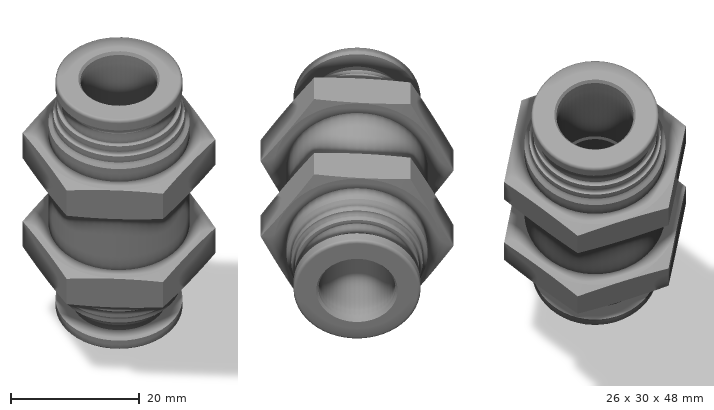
import cadquery as cq
import math

LENGTH = 48.0
HALF_LENGTH = LENGTH / 2

BARREL_DIAMETER = 22.0
BARREL_CHAMFER_START = 9.05

WIDE_STEP_DIAMETER = 20.5
WIDE_STEP_END = 8.35
NARROW_STEP_DIAMETER = 19.3
STEP_BLEND_WIDE_END = 7.1
STEP_BLEND_NARROW_END = 6.65
CONE_LARGE_DIAMETER = 17.85
CONE_LARGE_END = 5.5
CONE_SMALL_DIAMETER = 16.9
CONE_SMALL_END = 3.95

STEM_DIAMETER = 14.9
FLANGE_DIAMETER = 19.8
FLANGE_THICKNESS = 1.95
FLANGE_ROUNDING = 0.5

BORE_DIAMETER = 11.0
SOCKET_DIAMETER = 12.0
SOCKET_DEPTH = 16.8
MOUTH_DIAMETER = 12.65
MOUTH_DEPTH = 0.5

NUT_ACROSS_FLATS = 26.0
NUT_ACROSS_CORNERS = NUT_ACROSS_FLATS / math.cos(math.radians(30))
NUT_HEIGHT = 6.05
NUT_END_DISTANCE = 11.7
NUT_FACE_DIAMETER = 25.8
NUT_CORNER_DROP = 0.4


def section_point(diameter, distance_from_end):
    """Point of the upper half's radial section."""
    return (diameter / 2, HALF_LENGTH - distance_from_end)


def revolve_section(section):
    """Close a radial section and revolve it about Z."""
    return section.close().revolve(360, (0, 0, 0), (0, 1, 0))


def make_stepped_end():
    """Solid upper end, from the barrel to the flange, revolved about Z."""
    blend_bulge = math.sqrt(0.5)
    blend_width = WIDE_STEP_DIAMETER - NARROW_STEP_DIAMETER
    blend_height = STEP_BLEND_WIDE_END - STEP_BLEND_NARROW_END
    blend_middle = section_point(
        NARROW_STEP_DIAMETER + blend_width * (1 - blend_bulge),
        STEP_BLEND_NARROW_END + blend_height * blend_bulge,
    )
    section = (
        cq.Workplane("XZ")
        .moveTo(*section_point(0, BARREL_CHAMFER_START))
        .lineTo(*section_point(BARREL_DIAMETER, BARREL_CHAMFER_START))
        .lineTo(*section_point(WIDE_STEP_DIAMETER, WIDE_STEP_END))
        .lineTo(*section_point(WIDE_STEP_DIAMETER, STEP_BLEND_WIDE_END))
        .threePointArc(blend_middle, section_point(NARROW_STEP_DIAMETER, STEP_BLEND_NARROW_END))
        .lineTo(*section_point(NARROW_STEP_DIAMETER, CONE_LARGE_END))
        .lineTo(*section_point(CONE_LARGE_DIAMETER, CONE_LARGE_END))
        .lineTo(*section_point(CONE_SMALL_DIAMETER, CONE_SMALL_END))
        .lineTo(*section_point(STEM_DIAMETER, CONE_SMALL_END))
        .lineTo(*section_point(STEM_DIAMETER, FLANGE_THICKNESS))
        .lineTo(*section_point(FLANGE_DIAMETER, FLANGE_THICKNESS))
        .lineTo(*section_point(FLANGE_DIAMETER, FLANGE_ROUNDING))
        .radiusArc(section_point(FLANGE_DIAMETER - 2 * FLANGE_ROUNDING, 0), -FLANGE_ROUNDING)
        .lineTo(*section_point(0, 0))
    )
    return revolve_section(section)


def make_socket():
    """Cutter for the upper tube socket and its chamfered mouth."""
    section = (
        cq.Workplane("XZ")
        .moveTo(*section_point(0, 0))
        .lineTo(*section_point(MOUTH_DIAMETER, 0))
        .lineTo(*section_point(SOCKET_DIAMETER, MOUTH_DEPTH))
        .lineTo(*section_point(SOCKET_DIAMETER, SOCKET_DEPTH))
        .lineTo(*section_point(0, SOCKET_DEPTH))
    )
    return revolve_section(section)


def make_fitting():
    """One-piece fitting: barrel, two mirrored ends, through bore and sockets."""
    stepped_end = make_stepped_end()
    socket = make_socket()
    barrel_length = LENGTH - 2 * BARREL_CHAMFER_START
    barrel = cq.Workplane("XY").cylinder(barrel_length, BARREL_DIAMETER / 2)
    bore = cq.Workplane("XY").cylinder(LENGTH, BORE_DIAMETER / 2)
    solid = barrel.union(stepped_end).union(stepped_end.mirror("XY"))
    return solid.cut(bore).cut(socket).cut(socket.mirror("XY"))


def make_nut(center_height):
    """Hexagonal nut with corners on the Y axis, coned on both faces."""
    face_radius = NUT_FACE_DIAMETER / 2
    corner_radius = NUT_ACROSS_CORNERS / 2
    half_height = NUT_HEIGHT / 2
    corner_height = half_height - NUT_CORNER_DROP
    hexagon = (
        cq.Workplane("XY")
        .polygon(6, NUT_ACROSS_CORNERS)
        .extrude(half_height, both=True)
        .rotate((0, 0, 0), (0, 0, 1), 30)
    )
    coned_section = (
        cq.Workplane("XZ")
        .moveTo(BARREL_DIAMETER / 2, -half_height)
        .lineTo(face_radius, -half_height)
        .lineTo(corner_radius, -corner_height)
        .lineTo(corner_radius, corner_height)
        .lineTo(face_radius, half_height)
        .lineTo(BARREL_DIAMETER / 2, half_height)
    )
    coned_blank = revolve_section(coned_section)
    return hexagon.intersect(coned_blank).translate((0, 0, center_height))


nut_center_height = HALF_LENGTH - NUT_END_DISTANCE - NUT_HEIGHT / 2
fitting = make_fitting()
nuts = [make_nut(side * nut_center_height) for side in (-1, 1)]

result = cq.Compound.makeCompound([*fitting.solids().vals(), *[nut.solids().val() for nut in nuts]])